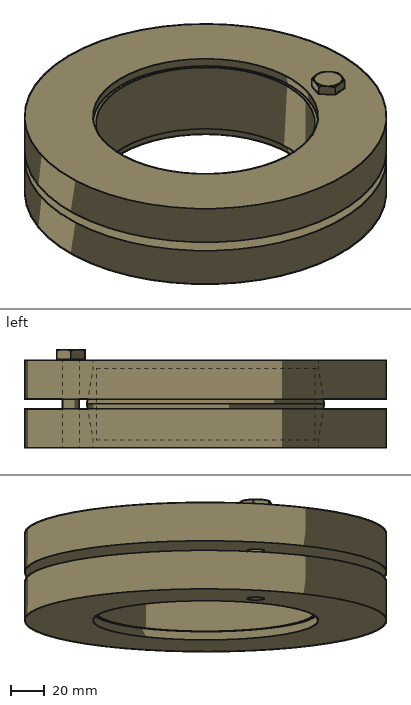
import cadquery as cq

flange_diameter = 215.0
flange_thickness = 23.2
flange_gap = 5.8
stack_height = 2 * flange_thickness + flange_gap
middle_z = stack_height / 2

ring_bore_diameter = 130.0
ring_end_diameter = 133.7
ring_ridge_diameter = 141.3
ring_recess = 5.0
ring_bottom_z = ring_recess
ring_top_z = stack_height - ring_recess

bolt_offset_y = 80.0
shank_diameter = 10.0
head_across_flats = 17.0
bearing_face_diameter = 15.5
bearing_face_height = 0.5
head_height = 6.2
crown_diameter = 16.8
crown_height = 0.6
hex_corner_diameter = head_across_flats / (3**0.5 / 2)
head_top_z = stack_height + head_height


def cylinder(diameter, bottom_z, height, center_y=0):
    """Upright cylinder starting at bottom_z."""
    return cq.Workplane("XY", origin=(0, center_y, bottom_z)).circle(diameter / 2).extrude(height)


def seal_envelope():
    """Solid double cone, widest at the middle of the gap."""
    profile = [
        (0, ring_bottom_z),
        (ring_end_diameter / 2, ring_bottom_z),
        (ring_ridge_diameter / 2, middle_z),
        (ring_end_diameter / 2, ring_top_z),
        (0, ring_top_z),
    ]
    return cq.Workplane("XZ").polyline(profile).close().revolve(360, (0, 0, 0), (0, 1, 0))


def make_seal_ring():
    return seal_envelope().cut(cylinder(ring_bore_diameter, 0, stack_height))


def make_flange(bottom_z):
    """Flange with a straight mouth, a conical seat for the ring and a bolt hole."""
    flange = cylinder(flange_diameter, bottom_z, flange_thickness)
    mouth = cylinder(ring_end_diameter, bottom_z, flange_thickness)
    bolt_hole = cylinder(shank_diameter, bottom_z, flange_thickness, bolt_offset_y)
    return flange.cut(mouth).cut(seal_envelope()).cut(bolt_hole)


def make_bolt_head():
    """Hexagonal head with a conical crown that trims its upper corners."""
    hex_bottom_z = stack_height + bearing_face_height
    hexagon = (
        cq.Workplane("XY", origin=(0, bolt_offset_y, hex_bottom_z))
        .polygon(6, hex_corner_diameter)
        .extrude(head_height - bearing_face_height)
    )
    crown_profile = [
        (0, hex_bottom_z),
        (hex_corner_diameter / 2, hex_bottom_z),
        (hex_corner_diameter / 2, head_top_z - crown_height),
        (crown_diameter / 2, head_top_z),
        (0, head_top_z),
    ]
    crown = (
        cq.Workplane("XZ", origin=(0, bolt_offset_y, 0))
        .polyline(crown_profile)
        .close()
        .revolve(360, (0, 0, 0), (0, 1, 0))
    )
    return hexagon.intersect(crown)


def make_bolt():
    """Bolt through both flanges, ending flush with the lower face."""
    shank = cylinder(shank_diameter, 0, stack_height, bolt_offset_y)
    bearing_face = cylinder(bearing_face_diameter, stack_height, bearing_face_height, bolt_offset_y)
    return shank.union(bearing_face).union(make_bolt_head())


flanges = [make_flange(bottom_z) for bottom_z in (0, flange_thickness + flange_gap)]
seal_ring = make_seal_ring()
bolt = make_bolt()

result = cq.Compound.makeCompound([*[flange.val() for flange in flanges], seal_ring.val(), bolt.val()])